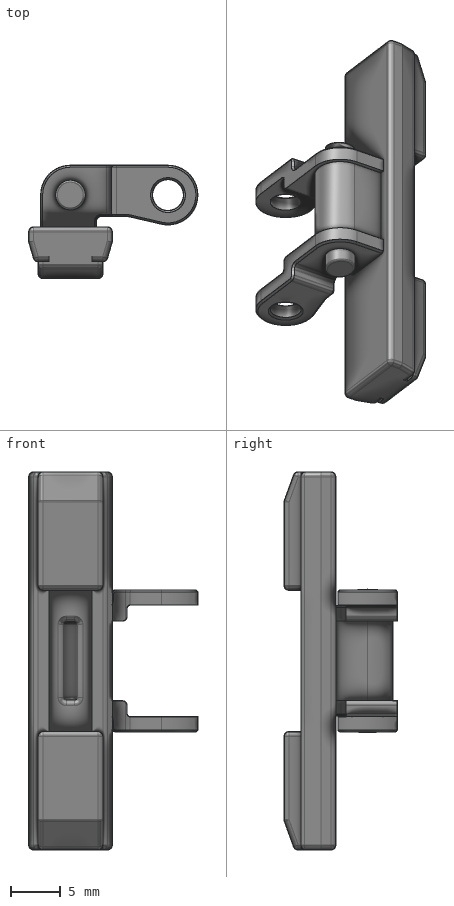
import cadquery as cq
import math


bar_length = 38.0
bar_width = 8.4
bar_back_y = -3.2
bar_thickness = 3.5
bar_front_y = bar_back_y - bar_thickness
bar_straight_side = 1.5
bar_side_inset = 0.58
edge_radius = 0.5

pad_width = 6.5
pad_front_y = -8.4
pad_inner_z = 7.1
pad_slope_length = 2.95
pad_slope_angle = 20.0

channel_width = 4.3
channel_depth = 2.5
channel_floor_y = bar_front_y + channel_depth
trough_width = 1.4
trough_length = 7.9
trough_depth = 1.2
trough_rim_radius = 0.55
trough_end_radius = 0.3

pin_diameter = 3.0
pin_edge_radius = 0.2
pin_center_z = 7.07
pin_end_tilt = 6.0
hub_radius = 2.55

lug_radius = 3.0
lug_right_x = 2.6
lug_inner_z = 4.0
arm_thickness = 1.55
arm_step = 1.6
arm_end_z = lug_inner_z + arm_thickness + arm_step
eye_x = 9.8
eye_hole_diameter = 3.1
eye_slope_angle = 13.0
arm_lower_y = -2.15
arm_blend_radius = 2.0
step_outer_x = 4.1
step_inner_x = 5.7
bend_radius = 0.5
inner_bend_radius = 0.3
inner_corner_radius = 0.5
arm_edge_chamfer = 0.2

joint_overlap = 0.5


def make_bar():
    half_width = bar_width / 2
    front_half_width = half_width - bar_side_inset
    side_end_y = bar_back_y - bar_straight_side
    bar = (
        cq.Workplane("XY")
        .workplane(offset=-bar_length / 2)
        .moveTo(-half_width, bar_back_y)
        .lineTo(half_width, bar_back_y)
        .lineTo(half_width, side_end_y)
        .lineTo(front_half_width, bar_front_y)
        .lineTo(-front_half_width, bar_front_y)
        .lineTo(-half_width, side_end_y)
        .close()
        .extrude(bar_length)
    )
    bar = bar.edges("|Z and (>Y or <Y)").fillet(edge_radius)
    return bar.faces("<Z or >Z").edges().fillet(edge_radius)


def make_channel():
    return cq.Workplane("XY").box(channel_width, channel_depth, 2 * pad_inner_z).translate(
        (0, bar_front_y + channel_depth / 2, 0)
    )


def make_trough():
    """Pocket with a full-round bottom."""
    half_width = trough_width / 2
    round_start_y = channel_floor_y + trough_depth - half_width
    return (
        cq.Workplane("XY")
        .workplane(offset=-trough_length / 2)
        .moveTo(-half_width, channel_floor_y)
        .lineTo(-half_width, round_start_y)
        .threePointArc((0, channel_floor_y + trough_depth), (half_width, round_start_y))
        .lineTo(half_width, channel_floor_y)
        .close()
        .extrude(trough_length)
        .faces("<Z or >Z")
        .edges("not <Y")
        .fillet(trough_end_radius)
    )


def cut_trough(body):
    body = body.cut(make_trough())
    half_width = trough_width / 2 + 0.01
    half_length = trough_length / 2 + 0.01
    rim = cq.selectors.BoxSelector(
        (-half_width, channel_floor_y - 0.01, -half_length),
        (half_width, channel_floor_y + 0.01, half_length),
        boundingbox=True,
    )
    return body.edges(rim).fillet(trough_rim_radius)


def make_pad():
    """Upper pad, with a tongue that fills the channel up to the end of the bar."""
    end_z = bar_length / 2
    slope_rise = pad_slope_length * math.tan(math.radians(pad_slope_angle))
    pad = (
        cq.Workplane("YZ")
        .workplane(offset=-pad_width / 2)
        .moveTo(bar_front_y, pad_inner_z)
        .lineTo(pad_front_y, pad_inner_z)
        .lineTo(pad_front_y, end_z - pad_slope_length)
        .lineTo(pad_front_y + slope_rise, end_z)
        .lineTo(bar_front_y, end_z)
        .close()
        .extrude(pad_width)
        .edges("not >Y")
        .fillet(edge_radius)
    )
    tongue_length = end_z - pad_inner_z
    tongue = cq.Workplane("XY").box(channel_width, channel_depth, tongue_length).translate(
        (0, bar_front_y + channel_depth / 2, pad_inner_z + tongue_length / 2)
    )
    return pad.union(tongue)


def make_hub():
    root_y = bar_back_y - joint_overlap
    return (
        cq.Workplane("XY")
        .workplane(offset=-lug_inner_z)
        .moveTo(-hub_radius, root_y)
        .lineTo(-hub_radius, 0)
        .threePointArc((0, hub_radius), (hub_radius, 0))
        .lineTo(hub_radius, root_y)
        .close()
        .extrude(2 * lug_inner_z)
    )


def make_pin():
    """Upper half of the pin, its end face tilted so that it is lower on the -X side."""
    pin_radius = pin_diameter / 2
    end_rise = pin_radius * math.tan(math.radians(pin_end_tilt))
    sloped_prism = (
        cq.Workplane("XZ")
        .moveTo(-pin_radius, 0)
        .lineTo(pin_radius, 0)
        .lineTo(pin_radius, pin_center_z + end_rise)
        .lineTo(-pin_radius, pin_center_z - end_rise)
        .close()
        .extrude(pin_radius, both=True)
    )
    pin = cq.Workplane("XY").circle(pin_radius).extrude(pin_center_z + end_rise)
    return pin.intersect(sloped_prism).faces(">Z").edges().fillet(pin_edge_radius)


def make_arm_outline():
    """Arm seen along Z: lug on the left, eye on the right, root reaching into the bar."""
    slope = math.radians(eye_slope_angle)
    root_y = bar_back_y - joint_overlap
    tangent_x = eye_x - lug_radius * math.sin(slope)
    tangent_y = -lug_radius * math.cos(slope)
    slope_start_x = tangent_x - (arm_lower_y - tangent_y) / math.tan(slope)
    diagonal = lug_radius * math.sqrt(0.5)
    outline = (
        cq.Workplane("XY")
        .moveTo(-lug_radius, root_y)
        .lineTo(-lug_radius, 0)
        .threePointArc((-diagonal, diagonal), (0, lug_radius))
        .lineTo(eye_x, lug_radius)
        .threePointArc((eye_x + lug_radius, 0), (tangent_x, tangent_y))
        .lineTo(slope_start_x, arm_lower_y)
        .lineTo(lug_right_x, arm_lower_y)
        .lineTo(lug_right_x, root_y)
        .close()
        .extrude(arm_end_z)
    )
    inner_corner = cq.selectors.NearestToPointSelector((lug_right_x, arm_lower_y, arm_end_z / 2))
    blend_edge = cq.selectors.NearestToPointSelector((slope_start_x, arm_lower_y, arm_end_z / 2))
    outline = outline.edges("|Z").edges(inner_corner).fillet(inner_corner_radius)
    return outline.edges("|Z").edges(blend_edge).fillet(arm_blend_radius)


def make_arm_profile():
    """Stepped sheet seen along Y, as wide as the arm outline."""
    lug_outer_z = lug_inner_z + arm_thickness
    eye_inner_z = arm_end_z - arm_thickness
    left_x = -2 * lug_radius
    right_x = eye_x + 2 * lug_radius
    profile = (
        cq.Workplane("XZ")
        .moveTo(left_x, lug_inner_z)
        .lineTo(step_inner_x, lug_inner_z)
        .lineTo(step_inner_x, eye_inner_z)
        .lineTo(right_x, eye_inner_z)
        .lineTo(right_x, arm_end_z)
        .lineTo(step_outer_x, arm_end_z)
        .lineTo(step_outer_x, lug_outer_z)
        .lineTo(left_x, lug_outer_z)
        .close()
        .extrude(2 * lug_radius, both=True)
    )
    for x, z, radius in (
        (step_inner_x, lug_inner_z, bend_radius),
        (step_inner_x, eye_inner_z, inner_bend_radius),
        (step_outer_x, arm_end_z, bend_radius),
        (step_outer_x, lug_outer_z, bend_radius),
    ):
        bend = cq.selectors.NearestToPointSelector((x, 0, z))
        profile = profile.edges("|Y").edges(bend).fillet(radius)
    return profile


def make_arm():
    """Upper arm, chamfered along the rim of its outer face and around its eye."""
    arm = make_arm_outline().intersect(make_arm_profile())
    hole = cq.Workplane("XY").center(eye_x, 0).circle(eye_hole_diameter / 2).extrude(arm_end_z)
    arm = arm.cut(hole)
    return chamfer_arm_edges(arm)


def chamfer_arm_edges(arm):
    """Chamfer the rim of the outer side, from the lug over the step to the eye."""
    lug_outer_z = lug_inner_z + arm_thickness
    rim_edges = arm.faces(">Z").edges("not |Y")
    lug_face = cq.selectors.NearestToPointSelector((0, 0, lug_outer_z))
    rim_edges = rim_edges.add(arm.faces(lug_face).edges("not (>X or <Y)"))
    return rim_edges.chamfer(arm_edge_chamfer)


def mirror_pair(upper):
    return upper.union(upper.mirror("XY"))


body = make_bar().cut(make_channel()).union(make_hub())
body = cut_trough(body)
body = body.union(mirror_pair(make_pad()))
body = body.union(mirror_pair(make_pin()))
result = body.union(mirror_pair(make_arm()))